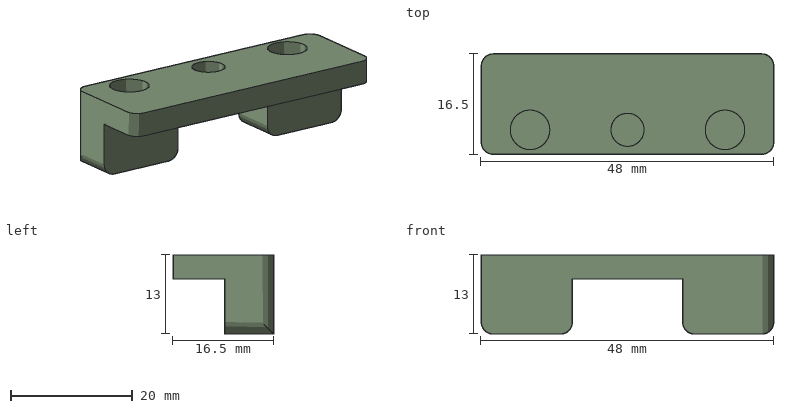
import cadquery as cq

length = 48.0
depth = 16.5
height = 13.0

plate_thickness = 4.0
leg_length = 15.0
leg_depth = 8.05
corner_radius = 2.0

end_hole_diameter = 6.5
end_hole_inset = 8.0
middle_hole_diameter = 5.4
end_hole_depth = 3.05
middle_hole_depth = 2.5
hole_y = 4.05


def bridge_profile():
    """Solid of the front outline: a bridge on two legs with rounded feet."""
    outline = (
        cq.Workplane("XZ")
        .moveTo(0, height)
        .lineTo(0, 0)
        .lineTo(leg_length, 0)
        .lineTo(leg_length, height - plate_thickness)
        .lineTo(length - leg_length, height - plate_thickness)
        .lineTo(length - leg_length, 0)
        .lineTo(length, 0)
        .lineTo(length, height)
        .close()
        .extrude(-depth)
    )
    return outline.faces("<Z").edges("|Y").fillet(corner_radius)


def rear_clearance():
    """Space behind the legs, below the plate."""
    return cq.Workplane("XY").box(
        length, depth - leg_depth, height - plate_thickness, centered=False
    ).translate((0, leg_depth, 0))


def rounded_footprint():
    """Full-height block with rounded vertical corners."""
    block = cq.Workplane("XY").box(length, depth, height, centered=False)
    return block.edges("|Z").fillet(corner_radius)


def top_hole(x, diameter, hole_depth):
    """Cutter for a flat-bottomed hole sunk from the top face."""
    return (
        cq.Workplane("XY", origin=(x, hole_y, height))
        .circle(diameter / 2)
        .extrude(-hole_depth)
    )


result = bridge_profile().cut(rear_clearance()).intersect(rounded_footprint())

for x, diameter, hole_depth in (
    (end_hole_inset, end_hole_diameter, end_hole_depth),
    (length / 2, middle_hole_diameter, middle_hole_depth),
    (length - end_hole_inset, end_hole_diameter, end_hole_depth),
):
    result = result.cut(top_hole(x, diameter, hole_depth))